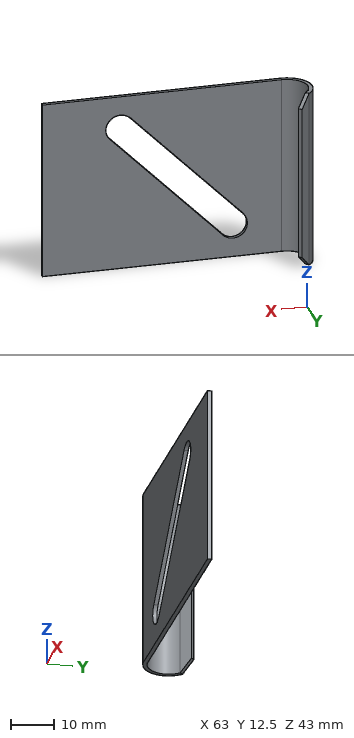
import cadquery as cq
import math

length = 63.0
height = 43.0
thickness = 1.0

bend_radius = 6.0
lip_angle = 43.0
lip_length = 3.1
lip_chamfer = 2.95

slot_center_x = 31.0
slot_center_z = height / 2
slot_spacing = 38.1
slot_width = 6.8
slot_angle = 45.0

inner_radius = bend_radius - thickness


def bend_point(radius, angle):
    """Point around the bend axis, with the angle in degrees from +X."""
    a = math.radians(angle)
    return (bend_radius + radius * math.cos(a), bend_radius + radius * math.sin(a))


def lip_tip(start):
    """Move from the end of the bend to the end of the lip."""
    a = math.radians(lip_angle)
    return (start[0] + lip_length * math.cos(a), start[1] + lip_length * math.sin(a))


def make_sheet():
    """Extrude the plate, bend and lip profile along Z."""
    bend_end = 90 + lip_angle
    outer_end = bend_point(bend_radius, bend_end)
    inner_end = bend_point(inner_radius, bend_end)
    return (
        cq.Workplane("XY")
        .moveTo(length, 0)
        .lineTo(bend_radius, 0)
        .threePointArc(bend_point(bend_radius, 180), outer_end)
        .lineTo(*lip_tip(outer_end))
        .lineTo(*lip_tip(inner_end))
        .lineTo(*inner_end)
        .threePointArc(bend_point(inner_radius, 180), (bend_radius, thickness))
        .lineTo(length, thickness)
        .close()
        .extrude(height)
    )


def make_slot():
    """Obround cutter passing through the plate thickness."""
    return (
        cq.Workplane("XZ")
        .center(slot_center_x, slot_center_z)
        .slot2D(slot_spacing + slot_width, slot_width, slot_angle)
        .extrude(thickness, both=True)
    )


def make_corner_cutter():
    """Triangle that bevels the bottom corner of the lip, extruded through the sheet."""
    a = math.radians(lip_angle)
    start = bend_point(bend_radius, 90 + lip_angle)
    lip_plane = cq.Plane(
        origin=(start[0], start[1], 0),
        xDir=(math.cos(a), math.sin(a), 0),
        normal=(math.sin(a), -math.cos(a), 0),
    )
    return (
        cq.Workplane(lip_plane)
        .polyline([(0, 0), (lip_length, 0), (lip_length, lip_chamfer)])
        .close()
        .extrude(thickness)
    )


bottom_corner = make_corner_cutter()
top_corner = bottom_corner.mirror("XY", (0, 0, height / 2))
result = make_sheet().cut(make_slot()).cut(bottom_corner).cut(top_corner)